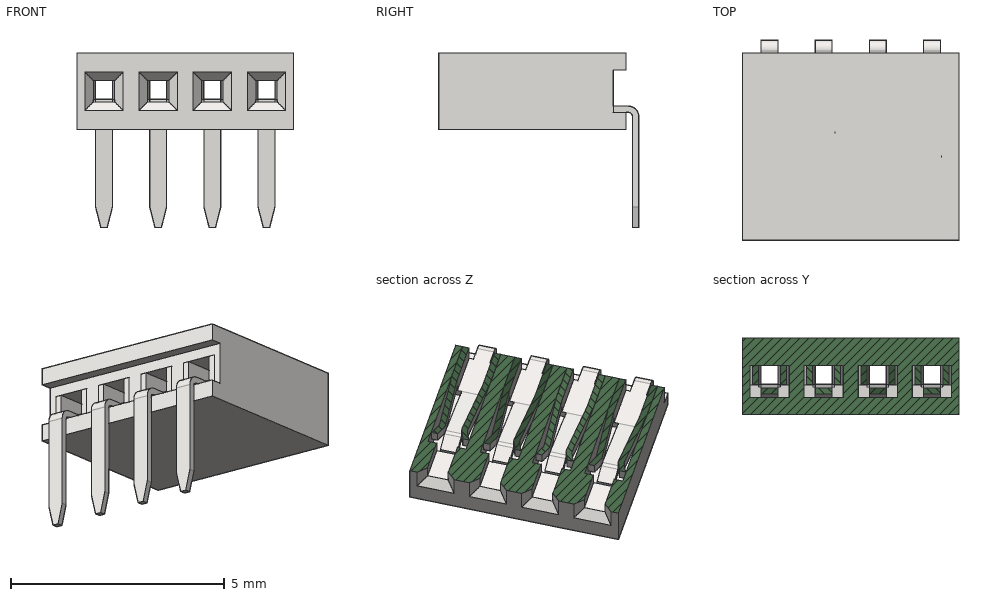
import cadquery as cq


contact_count = 4
pitch = 1.27
contact_xs = [(i - (contact_count - 1) / 2) * pitch for i in range(contact_count)]

housing_width = contact_count * pitch
housing_depth = 4.4
housing_height = 1.8
lip_thickness = 0.4
recess_depth = 0.3
recess_y = housing_depth - recess_depth

throat_size = 0.5
mouth_size = 0.9
mouth_depth = (mouth_size - throat_size) / 2
throat_z = housing_height / 2
cavity_front = 1.015
cavity_width = 0.915
cavity_bottom = lip_thickness
cavity_top = throat_z + throat_size / 2

sheet = 0.15
strip_width = 0.4
collar_front = 3.05
crest_y = 1.575
flare_slope = 0.4
crest_radius = 0.205
side_finger_rise = 0.11
side_finger_bottom = throat_z - strip_width / 2
bottom_finger_rise = 0.17

tail_back = 4.7
tail_length = 2.3
tail_taper_length = 0.49
tail_tip_width = 0.15
bend_inner_radius = 0.1
bend_outer_radius = bend_inner_radius + sheet


def box_between(x0, x1, y0, y1, z0, z1):
    return cq.Workplane("XY").box(x1 - x0, y1 - y0, z1 - z0, centered=False).translate((x0, y0, z0))


def make_socket(x):
    """Space removed from the housing for one contact."""
    mouth = (
        cq.Workplane("XZ", origin=(x, 0, throat_z))
        .rect(mouth_size, mouth_size)
        .workplane(offset=-mouth_depth)
        .rect(throat_size, throat_size)
        .loft(ruled=True)
    )
    half_throat = throat_size / 2
    throat = box_between(
        x - half_throat, x + half_throat, mouth_depth, cavity_front, throat_z - half_throat, cavity_top
    )
    half_cavity = cavity_width / 2
    cavity = box_between(
        x - half_cavity, x + half_cavity, cavity_front, recess_y, cavity_bottom, cavity_top
    )
    return mouth.union(throat).union(cavity)


def make_housing():
    half_width = housing_width / 2
    housing = box_between(-half_width, half_width, 0, housing_depth, 0, housing_height)
    recess = box_between(
        -half_width, half_width, recess_y, housing_depth, lip_thickness, housing_height - lip_thickness
    )
    housing = housing.cut(recess)
    for x in contact_xs:
        housing = housing.cut(make_socket(x))
    return housing


def make_tail():
    """Strip that leaves the collar, bends down and ends in a tapered tip."""
    strip_top = cavity_bottom + sheet
    bend_y = tail_back - bend_outer_radius
    bend_z = strip_top - bend_outer_radius
    strip = (
        cq.Workplane("YZ")
        .moveTo(recess_y, cavity_bottom)
        .lineTo(bend_y, cavity_bottom)
        .radiusArc((bend_y + bend_inner_radius, bend_z), bend_inner_radius)
        .lineTo(bend_y + bend_inner_radius, -tail_length)
        .lineTo(tail_back, -tail_length)
        .lineTo(tail_back, bend_z)
        .radiusArc((bend_y, strip_top), -bend_outer_radius)
        .lineTo(recess_y, strip_top)
        .close()
        .extrude(strip_width / 2, both=True)
    )
    half_width = strip_width / 2
    half_tip = tail_tip_width / 2
    taper_z = tail_taper_length - tail_length
    outline = (
        cq.Workplane("XZ", origin=(0, tail_back, 0))
        .polyline(
            [
                (-half_tip, -tail_length),
                (half_tip, -tail_length),
                (half_width, taper_z),
                (half_width, strip_top),
                (-half_width, strip_top),
                (-half_width, taper_z),
            ]
        )
        .close()
        .extrude(tail_back - recess_y)
    )
    return strip.intersect(outline)


def make_collar():
    """U-shaped channel that fills the cavity behind the fingers."""
    half_width = cavity_width / 2
    half_gap = half_width - sheet
    collar = box_between(-half_width, half_width, collar_front, recess_y, cavity_bottom, cavity_top)
    channel = box_between(
        -half_gap, half_gap, collar_front, recess_y, cavity_bottom + sheet, cavity_top
    )
    return collar.cut(channel)


def make_finger(width, rise):
    """Spring finger lying along Y on Z = 0, bowed up to a rounded crest and centred on X = 0."""
    finger_tip_y = crest_y - rise / flare_slope
    return (
        cq.Workplane("YZ")
        .polyline(
            [
                (collar_front, 0),
                (crest_y, rise),
                (finger_tip_y, 0),
                (finger_tip_y, sheet),
                (crest_y, rise + sheet),
                (collar_front, sheet),
            ]
        )
        .close()
        .extrude(width / 2, both=True)
        .edges("|X and >Z")
        .fillet(crest_radius)
    )


def make_contact():
    side_width = cavity_top - side_finger_bottom
    side_z = (cavity_top + side_finger_bottom) / 2
    bottom_finger = make_finger(strip_width, bottom_finger_rise).translate((0, 0, cavity_bottom))
    left_finger = (
        make_finger(side_width, side_finger_rise)
        .rotate((0, 0, 0), (0, 1, 0), 90)
        .translate((-cavity_width / 2, 0, side_z))
    )
    right_finger = left_finger.mirror("YZ")
    contact = make_collar().union(make_tail())
    for finger in (bottom_finger, left_finger, right_finger):
        contact = contact.union(finger)
    return contact


housing = make_housing()
contact = make_contact()
contacts = [contact.translate((x, 0, 0)) for x in contact_xs]

result = cq.Compound.makeCompound([housing.val(), *[placed.val() for placed in contacts]])